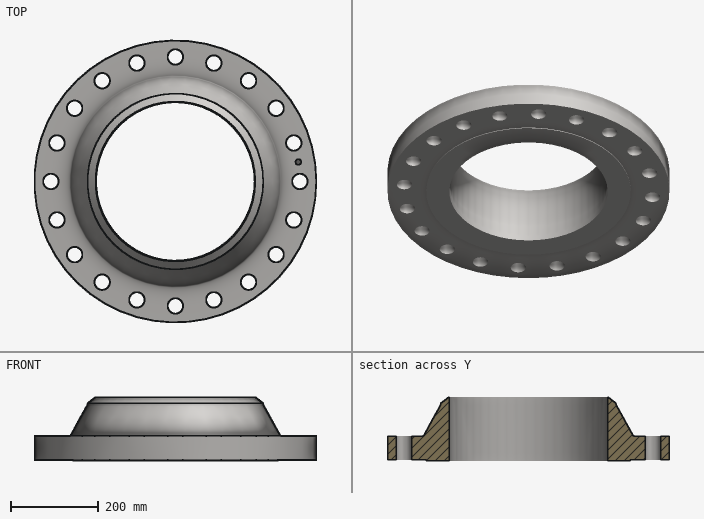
import cadquery as cq
import math

total_height = 146.11
flange_diameter = 647.6
flange_thickness = 57.15
raised_face_diameter = 469.9
raised_face_height = 1.6

hub_diameter = 482.6
hub_root_fillet = 4.0
neck_diameter = 403.2
neck_length = 3.2
neck_fillet = 11.0
weld_land = 1.8
weld_bevel_angle = 37.5
bore_diameter = 363.5

bolt_count = 20
bolt_circle_diameter = 571.5
bolt_hole_diameter = 34.9

small_hole_diameter = 13.0
small_hole_depth = 20.0
small_hole_angle = 180 / bolt_count


def edges_at(body, height, radius):
    """Select the circular edges of one radius at one height."""
    near = 0.1
    level = cq.selectors.BoxSelector(
        (-radius - near, -radius - near, height - near),
        (radius + near, radius + near, height + near),
        boundingbox=True,
    )
    return body.edges(level).edges(cq.selectors.RadiusNthSelector(-1))


def flange_body():
    """Revolve the half section of the flange, hub and beveled neck about Z."""
    bore_radius = bore_diameter / 2
    land_radius = bore_radius + weld_land
    neck_radius = neck_diameter / 2
    bevel_height = (neck_radius - land_radius) * math.tan(math.radians(weld_bevel_angle))
    neck_top = total_height - bevel_height
    section = (
        cq.Workplane("XZ")
        .moveTo(bore_radius, 0)
        .lineTo(raised_face_diameter / 2, 0)
        .lineTo(raised_face_diameter / 2, raised_face_height)
        .lineTo(flange_diameter / 2, raised_face_height)
        .lineTo(flange_diameter / 2, flange_thickness)
        .lineTo(hub_diameter / 2, flange_thickness)
        .lineTo(neck_radius, neck_top - neck_length)
        .lineTo(neck_radius, neck_top)
        .lineTo(land_radius, total_height)
        .lineTo(bore_radius, total_height)
        .close()
    )
    body = section.revolve(360, (0, 0, 0), (0, 1, 0))
    body = edges_at(body, flange_thickness, hub_diameter / 2).fillet(hub_root_fillet)
    return edges_at(body, neck_top - neck_length, neck_radius).fillet(neck_fillet)


def bolt_holes():
    """Through holes evenly spaced on the bolt circle, one of them on +X."""
    return (
        cq.Workplane("XY")
        .polarArray(bolt_circle_diameter / 2, 0, 360, bolt_count)
        .circle(bolt_hole_diameter / 2)
        .extrude(flange_thickness)
    )


def small_hole():
    """Flat-bottomed blind hole on the bolt circle, sunk from the hub side of the flange."""
    return (
        cq.Workplane("XY")
        .workplane(offset=flange_thickness - small_hole_depth)
        .polarArray(bolt_circle_diameter / 2, small_hole_angle, 360, 1)
        .circle(small_hole_diameter / 2)
        .extrude(small_hole_depth)
    )


result = flange_body().cut(bolt_holes()).cut(small_hole())